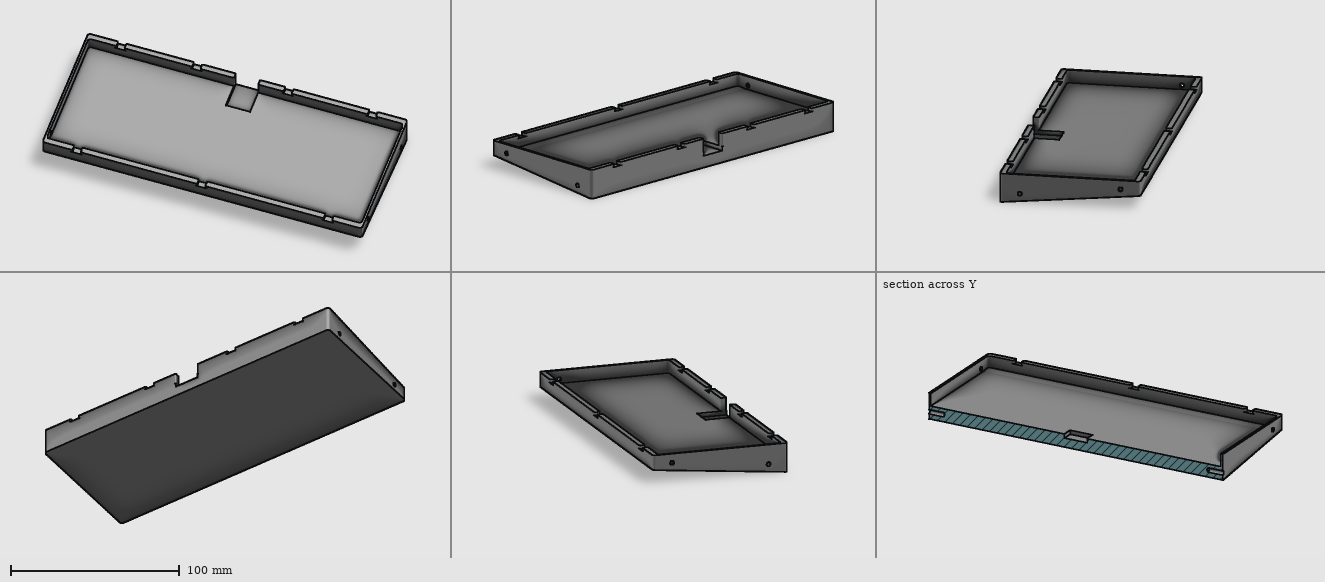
import cadquery as cq
import math

length = 199.86
width = 84.8
rear_height = 17.94
tilt_angle = 6.0
outer_corner_radius = 1.8

side_wall = 1.45
end_wall = 3.6
inner_corner_radius = 2.0
floor_depth = 8.0
floor_ramp_start = 9.1

notch_width = 5.0
notch_depth = 2.0
notch_edge_radius = 0.9
outer_notch_x = 78.6
front_notch_positions = [-outer_notch_x, -0.6, outer_notch_x]
rear_notch_positions = [-outer_notch_x, -31.2, 26.0, outer_notch_x]

opening_width = 15.2
opening_length = 18.6
opening_depth = 10.6
opening_edge_radius = 0.6

hole_diameter = 2.5
hole_end_distance = 12.05
hole_height_above_underside = 4.7
blind_hole_depth = 10.0
drill_point_angle = 118.0

tilt_slope = math.tan(math.radians(tilt_angle))
half_length = length / 2
front_y = -width / 2
rear_y = width / 2
inner_front_y = front_y + end_wall
inner_rear_y = rear_y - end_wall


def underside_z(y):
    """Height of the tilted underside at a given y."""
    return -rear_height + (rear_y - y) * tilt_slope


def extrude_side_profile(points, extrude_length):
    """Extrude a closed (y, z) outline along X, centred on x = 0."""
    return cq.Workplane("YZ").polyline(points).close().extrude(extrude_length / 2, both=True)


def make_wedge_body():
    outline = [
        (front_y, 0),
        (rear_y, 0),
        (rear_y, underside_z(rear_y)),
        (front_y, underside_z(front_y)),
    ]
    return extrude_side_profile(outline, length).edges("|Z").fillet(outer_corner_radius)


def make_cavity():
    """Tray space with a level floor that ramps up parallel to the underside near the front."""
    ramp_rise = (floor_ramp_start - end_wall) * tilt_slope
    outline = [
        (inner_front_y, 0),
        (inner_rear_y, 0),
        (inner_rear_y, -floor_depth),
        (front_y + floor_ramp_start, -floor_depth),
        (inner_front_y, -floor_depth + ramp_rise),
    ]
    cavity = extrude_side_profile(outline, length - 2 * side_wall)
    return cavity.edges("|Z").fillet(inner_corner_radius)


def make_flared_gap(x, wall_min_y, gap_width, gap_depth, edge_radius):
    """Gap across an end wall whose four vertical wall edges are rounded over."""
    wall_max_y = wall_min_y + end_wall
    half_gap = gap_width / 2
    half_flare = half_gap + edge_radius
    arc_inset = edge_radius * (1 - math.cos(math.radians(45)))
    outline = (
        cq.Workplane("XY")
        .moveTo(x - half_flare, wall_min_y)
        .lineTo(x + half_flare, wall_min_y)
        .threePointArc(
            (x + half_gap + arc_inset, wall_min_y + arc_inset),
            (x + half_gap, wall_min_y + edge_radius),
        )
        .lineTo(x + half_gap, wall_max_y - edge_radius)
        .threePointArc(
            (x + half_gap + arc_inset, wall_max_y - arc_inset),
            (x + half_flare, wall_max_y),
        )
        .lineTo(x - half_flare, wall_max_y)
        .threePointArc(
            (x - half_gap - arc_inset, wall_max_y - arc_inset),
            (x - half_gap, wall_max_y - edge_radius),
        )
        .lineTo(x - half_gap, wall_min_y + edge_radius)
        .threePointArc(
            (x - half_gap - arc_inset, wall_min_y + arc_inset),
            (x - half_flare, wall_min_y),
        )
        .close()
    )
    return outline.extrude(-gap_depth)


def cut_notches(body):
    for x in front_notch_positions:
        body = body.cut(make_flared_gap(x, front_y, notch_width, notch_depth, notch_edge_radius))
    for x in rear_notch_positions:
        body = body.cut(make_flared_gap(x, inner_rear_y, notch_width, notch_depth, notch_edge_radius))
    return body


def cut_connector_opening(body):
    recess = (
        cq.Workplane("XY")
        .center(0, rear_y - opening_length / 2)
        .rect(opening_width, opening_length)
        .extrude(-opening_depth)
    )
    wall_gap = make_flared_gap(0, inner_rear_y, opening_width, floor_depth, opening_edge_radius)
    return body.cut(recess).cut(wall_gap)


def cut_front_hole(body):
    """Hole along X through both side walls, opening into the tray."""
    y = front_y + hole_end_distance
    z = underside_z(y) + hole_height_above_underside
    hole = (
        cq.Workplane("YZ")
        .center(y, z)
        .circle(hole_diameter / 2)
        .extrude(half_length, both=True)
    )
    return body.cut(hole)


def cut_rear_holes(body):
    """Blind drilled hole below the floor in each side face."""
    y = rear_y - hole_end_distance
    z = underside_z(y) + hole_height_above_underside
    radius = hole_diameter / 2
    point_length = radius / math.tan(math.radians(drill_point_angle / 2))
    drill = (
        cq.Workplane("XY")
        .polyline([
            (-half_length, 0),
            (-half_length, radius),
            (-half_length + blind_hole_depth, radius),
            (-half_length + blind_hole_depth + point_length, 0),
        ])
        .close()
        .revolve(360, (0, 0, 0), (1, 0, 0))
        .translate((0, y, z))
    )
    return body.cut(drill).cut(drill.mirror("YZ"))


body = make_wedge_body().cut(make_cavity())
body = cut_notches(body)
body = cut_connector_opening(body)
body = cut_front_hole(body)
result = cut_rear_holes(body)